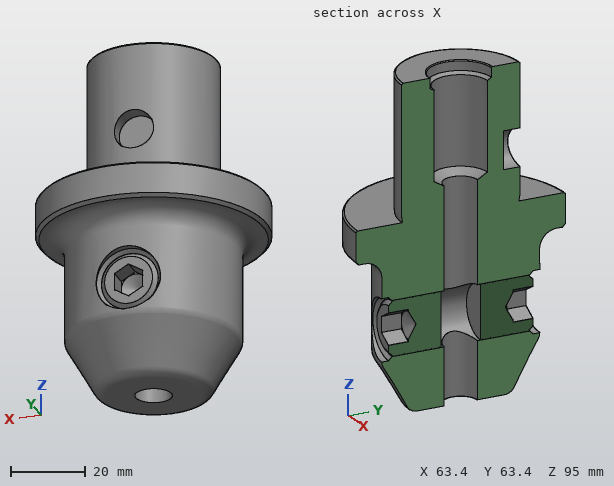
import cadquery as cq
import math

total_height = 95.0
flange_top = 55.0
flange_thickness = 10.0
flange_radius = 31.7
flange_top_chamfer = 0.5
flange_bottom_chamfer = 0.95
flange_bottom = flange_top - flange_thickness

shank_radius = 18.0
shank_chamfer = 0.5
relief_depth = 0.2
relief_width = 1.6
relief_taper_height = 1.1

neck_radius = 23.9
neck_fillet = 5.0
nose_taper_start = 15.1
nose_half_angle = 30.0
nose_shoulder_fillet = 3.0
nose_tip_fillet = 3.5
nose_tip_radius = neck_radius - nose_taper_start * math.tan(math.radians(nose_half_angle))

through_hole_radius = 5.0
drill_half_angle = 60.0
bore_radius = 8.0
bore_depth = 30.0
counterbore_radius = 9.2
counterbore_depth = 3.0
counterbore_chamfer = 0.3

locating_hole_radius = 5.5
locating_hole_height = 70.3
locating_hole_depth = 5.0

screw_height = 25.1
screw_radius = 8.0
screw_length = 16.0
screw_face_distance = 21.85
screw_chamfer = 1.2
hex_across_flats = 8.0
hex_depth = 6.0
screw_recess_radius = 9.0
screw_recess_floor = 21.85
screw_recess_cone = screw_recess_radius - screw_radius

screw_angles = [0, 180]

selection_margin = 0.1


def cone_height(large_radius, small_radius):
    """Axial length of a drill-point cone between two radii."""
    return (large_radius - small_radius) / math.tan(math.radians(drill_half_angle))


def revolve_profile(profile):
    """Turn a closed (radius, height) profile around the Z axis."""
    return profile.close().revolve(360, (0, 0, 0), (0, 1, 0))


def facing_minus_y(solid):
    """Lay a solid built along +Z so that its axis points to -Y at screw height."""
    return solid.rotate((0, 0, 0), (1, 0, 0), 90).translate((0, 0, screw_height))


def make_turned_blank():
    arc_reach = neck_fillet * math.sqrt(0.5)
    fillet_center_radius = neck_radius + neck_fillet
    fillet_center_height = flange_bottom - neck_fillet
    relief_radius = shank_radius - relief_depth
    relief_top = flange_top + relief_width
    profile = (
        cq.Workplane("XZ")
        .moveTo(0, 0)
        .lineTo(nose_tip_radius, 0)
        .lineTo(neck_radius, nose_taper_start)
        .lineTo(neck_radius, fillet_center_height)
        .threePointArc(
            (fillet_center_radius - arc_reach, fillet_center_height + arc_reach),
            (fillet_center_radius, flange_bottom),
        )
        .lineTo(flange_radius - flange_bottom_chamfer, flange_bottom)
        .lineTo(flange_radius, flange_bottom + flange_bottom_chamfer)
        .lineTo(flange_radius, flange_top - flange_top_chamfer)
        .lineTo(flange_radius - flange_top_chamfer, flange_top)
        .lineTo(relief_radius, flange_top)
        .lineTo(relief_radius, relief_top - relief_taper_height)
        .lineTo(shank_radius, relief_top)
        .lineTo(shank_radius, total_height - shank_chamfer)
        .lineTo(shank_radius - shank_chamfer, total_height)
        .lineTo(0, total_height)
    )
    blank = revolve_profile(profile)
    shoulder_edge = cq.selectors.BoxSelector(
        (-flange_radius, -flange_radius, nose_taper_start - selection_margin),
        (flange_radius, flange_radius, nose_taper_start + selection_margin),
        boundingbox=True,
    )
    blank = blank.faces("<Z").edges().fillet(nose_tip_fillet)
    return blank.edges(shoulder_edge).edges("%CIRCLE").fillet(nose_shoulder_fillet)


def make_central_bore():
    counterbore_floor = total_height - counterbore_depth
    bore_top = counterbore_floor - cone_height(counterbore_radius, bore_radius)
    bore_floor = total_height - bore_depth
    bore_tip = bore_floor - cone_height(bore_radius, through_hole_radius)
    profile = (
        cq.Workplane("XZ")
        .moveTo(0, 0)
        .lineTo(through_hole_radius, 0)
        .lineTo(through_hole_radius, bore_tip)
        .lineTo(bore_radius, bore_floor)
        .lineTo(bore_radius, bore_top)
        .lineTo(counterbore_radius, counterbore_floor)
        .lineTo(counterbore_radius, total_height - counterbore_chamfer)
        .lineTo(counterbore_radius + counterbore_chamfer, total_height)
        .lineTo(0, total_height)
    )
    return revolve_profile(profile)


def make_locating_hole():
    return (
        cq.Workplane("XZ", origin=(0, shank_radius, locating_hole_height))
        .circle(locating_hole_radius)
        .extrude(locating_hole_depth)
    )


def make_screw_hole():
    """Radial hole from the holder axis to the -Y side, with a recess at its mouth."""
    profile = (
        cq.Workplane("XZ")
        .moveTo(0, 0)
        .lineTo(screw_radius, 0)
        .lineTo(screw_radius, screw_recess_floor - screw_recess_cone)
        .lineTo(screw_recess_radius, screw_recess_floor)
        .lineTo(screw_recess_radius, neck_radius)
        .lineTo(0, neck_radius)
    )
    return facing_minus_y(revolve_profile(profile))


def make_holder():
    holder = make_turned_blank().cut(make_central_bore()).cut(make_locating_hole())
    for angle in screw_angles:
        holder = holder.cut(make_screw_hole().rotate((0, 0, 0), (0, 0, 1), angle))
    return holder


def make_clamping_screw(angle):
    """Set screw with a chamfered face and a hexagon socket ending in a drill point."""
    screw_end = screw_face_distance - screw_length
    body = (
        cq.Workplane("XY", origin=(0, 0, screw_end))
        .circle(screw_radius)
        .extrude(screw_length)
        .faces(">Z")
        .chamfer(screw_chamfer)
    )
    socket_floor = screw_face_distance - hex_depth
    hex_corner_diameter = hex_across_flats / math.cos(math.radians(30))
    socket = (
        cq.Workplane("XY", origin=(0, 0, socket_floor))
        .transformed(rotate=(0, 0, 90))
        .polygon(6, hex_corner_diameter)
        .extrude(hex_depth)
    )
    drill_radius = hex_across_flats / 2
    drill_point = revolve_profile(
        cq.Workplane("XZ")
        .moveTo(0, socket_floor - cone_height(drill_radius, 0))
        .lineTo(drill_radius, socket_floor)
        .lineTo(0, socket_floor)
    )
    screw = body.cut(socket).cut(drill_point)
    return facing_minus_y(screw).rotate((0, 0, 0), (0, 0, 1), angle)


holder = make_holder()
clamping_screws = [make_clamping_screw(angle) for angle in screw_angles]

result = cq.Compound.makeCompound([holder.val(), *[screw.val() for screw in clamping_screws]])